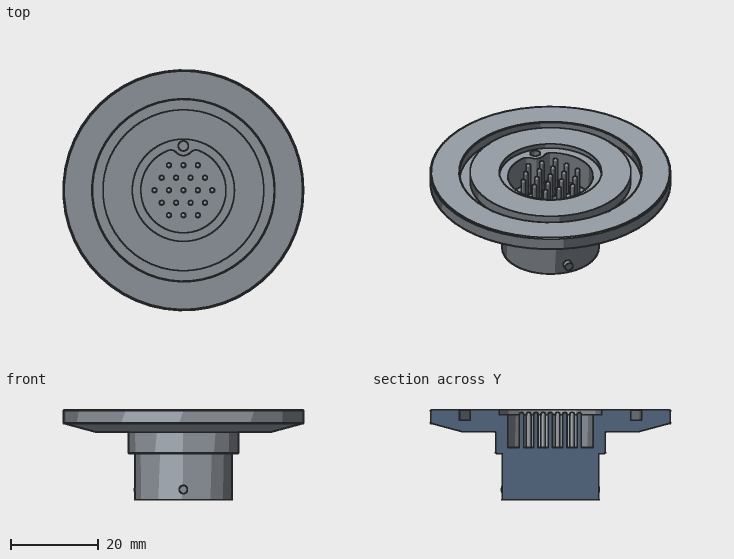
import cadquery as cq
import math


flange_diameter = 54.85
flange_radius = flange_diameter / 2
rim_height = 3.1
rim_top_chamfer = 0.3
rim_bottom_chamfer = 0.15
flange_height = 5.1
taper_angle = 15.0
taper_slope = math.tan(math.radians(taper_angle))
taper_inset = (flange_height - rim_height) / taper_slope

overall_height = 20.55
collar_diameter = 25.1
collar_bottom = 10.1
collar_chamfer = 0.3
body_diameter = 22.15

groove_outer_diameter = 41.75
groove_inner_diameter = 36.7
groove_depth = 2.4
groove_lip_chamfer = 0.15

recess_diameter = 23.3
recess_depth = 1.15
socket_diameter = 19.4
socket_floor_depth = 8.6
key_radius = 2.2
key_corner_radius = 1.65
key_hole_diameter = 2.3
key_hole_offset = 10.1

contact_diameter = 1.05
contact_tip_depth = 0.6
contact_pitch = 3.3
contact_rings = 2

stud_diameter = 1.85
stud_reach = 12.35
stud_depth = 18.2
stud_angles = (30, 150, 270)


def cylinder_down(diameter, top, bottom):
    """Vertical cylinder between two depths below the top face."""
    return cq.Workplane("XY").workplane(offset=-top).circle(diameter / 2).extrude(top - bottom)


def make_flange_and_body():
    collar_radius = collar_diameter / 2
    body_radius = body_diameter / 2
    profile = [
        (0, 0),
        (flange_radius - rim_top_chamfer, 0),
        (flange_radius, -rim_top_chamfer),
        (flange_radius, -rim_height + rim_bottom_chamfer),
        (flange_radius - rim_bottom_chamfer, -rim_height - rim_bottom_chamfer * taper_slope),
        (flange_radius - taper_inset, -flange_height),
        (collar_radius, -flange_height),
        (collar_radius, -collar_bottom + collar_chamfer),
        (collar_radius - collar_chamfer, -collar_bottom),
        (body_radius, -collar_bottom),
        (body_radius, -overall_height),
        (0, -overall_height),
    ]
    return cq.Workplane("XZ").polyline(profile).close().revolve(360, (0, 0), (0, 1))


def make_groove():
    """Ring-shaped cutter that flares at the outer lip of the groove."""
    inner_radius = groove_inner_diameter / 2
    outer_radius = groove_outer_diameter / 2
    profile = [
        (inner_radius, 0),
        (outer_radius, 0),
        (outer_radius - groove_lip_chamfer, -groove_lip_chamfer),
        (outer_radius - groove_lip_chamfer, -groove_depth),
        (inner_radius, -groove_depth),
    ]
    return cq.Workplane("XZ").polyline(profile).close().revolve(360, (0, 0), (0, 1))


def make_socket():
    """Recess and keyed bore, with a blind hole in the middle of the key."""
    bore = cylinder_down(socket_diameter, recess_depth, socket_floor_depth)
    key = cylinder_down(2 * key_radius, recess_depth, socket_floor_depth)
    keyed_bore = bore.cut(key.translate((0, key_hole_offset, 0)))
    key_corners = cq.selectors.BoxSelector(
        (-2 * key_radius, key_hole_offset - key_radius, -socket_floor_depth),
        (2 * key_radius, key_hole_offset, -recess_depth),
    )
    keyed_bore = keyed_bore.edges("|Z").edges(key_corners).fillet(key_corner_radius)
    key_hole = cylinder_down(key_hole_diameter, recess_depth, socket_floor_depth)
    recess = cylinder_down(recess_diameter, 0, recess_depth)
    return recess.union(keyed_bore).union(key_hole.translate((0, key_hole_offset, 0)))


def contact_positions():
    """Hexagonal grid: each row away from the middle has one contact fewer."""
    row_pitch = contact_pitch * math.sqrt(3) / 2
    positions = []
    for row in range(-contact_rings, contact_rings + 1):
        count = 2 * contact_rings + 1 - abs(row)
        for column in range(count):
            x = (column - (count - 1) / 2) * contact_pitch
            positions.append((x, row * row_pitch))
    return positions


def make_contact():
    """Pin with a hemispherical tip, rooted below the socket floor."""
    radius = contact_diameter / 2
    root_depth = socket_floor_depth + contact_diameter
    shoulder_depth = contact_tip_depth + radius
    shaft = cylinder_down(contact_diameter, shoulder_depth, root_depth)
    tip = cq.Workplane("XY").sphere(radius).translate((0, 0, -shoulder_depth))
    return shaft.union(tip)


def make_stud(angle):
    stud = cq.Workplane("YZ").circle(stud_diameter / 2).extrude(stud_reach)
    return stud.rotate((0, 0, 0), (0, 0, 1), angle).translate((0, 0, -stud_depth))


result = make_flange_and_body().cut(make_groove()).cut(make_socket())

contact = make_contact()
for x, y in contact_positions():
    result = result.union(contact.translate((x, y, 0)))

for stud_angle in stud_angles:
    result = result.union(make_stud(stud_angle))